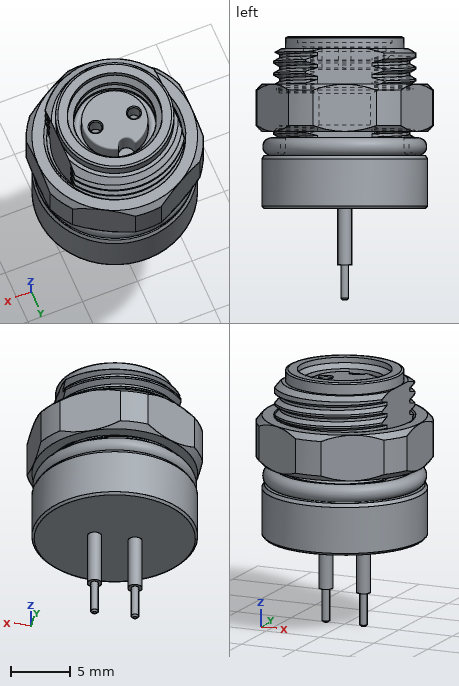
import cadquery as cq
import math


flange_radius = 7.0
flange_height = 4.5
flange_bottom_chamfer = 0.2
flange_top_chamfer_width = 0.2
flange_top_chamfer_height = 0.3

seal_outer_radius = 6.92
seal_section_radius = 0.75
seal_press = 0.02
seal_centre_z = flange_height + seal_section_radius - seal_press
seal_centre_radius = seal_outer_radius - seal_section_radius

thread_radius = 6.0
thread_pitch = 1.0
thread_depth = 0.5
thread_root_width = thread_pitch / 4
thread_flank_angle = math.radians(30)
thread_bottom_z = 6.0
thread_top_z = 13.5
thread_chamfer_width = 0.65
thread_chamfer_height = 0.38
thread_start_z = 13.1
thread_turns = 7.5
cutter_overshoot = 0.05
barrel_flat_distance = 10.0

neck_radius = barrel_flat_distance / 2
neck_fillet = 0.45

spigot_radius = 5.0
spigot_top_z = 14.5
spigot_chamfer_width = 0.2
spigot_chamfer_height = 0.1

nut_across_flats = 14.0
nut_corner_radius = 7.49
nut_bottom_z = 6.5
nut_height = 4.0
nut_top_z = nut_bottom_z + nut_height
nut_chamfer = 0.5
nut_bore_radius = 5.46
nut_bore_chamfer = 0.54
nut_counterbore_radius = 5.75
nut_counterbore_depth = 0.5

mouth_radius = 4.0
mouth_depth = 0.47
lip_radius = 3.5
lip_top_z = 13.63
lip_bottom_z = 13.25
undercut_bottom_z = 12.55
undercut_radius = lip_radius + lip_bottom_z - undercut_bottom_z
well_floor_z = 11.75

inner_seal_centre_radius = 3.2
inner_seal_section_radius = 0.36
inner_seal_press = 0.03
inner_seal_centre_z = well_floor_z + inner_seal_section_radius - inner_seal_press

insert_radius = 2.8
insert_top_z = 13.6
insert_edge = 0.13
key_radius = 0.7
key_centre_y = 2.6
key_mouth_fillet = 0.15

contact_spacing = 3.5
contact_hole_radius = 0.53
contact_hole_depth = 1.5
contact_hole_edge = 0.1
drill_tip_depth = contact_hole_radius * math.tan(math.radians(30))
pin_radius = 0.6
pin_length = 4.75
tip_radius = 0.33
pin_end_z = -7.7
tip_chamfer = 0.15
contact_positions = [(-contact_spacing / 2, 0), (contact_spacing / 2, 0)]


def revolve_profile(points):
    """Turn a closed (radius, z) outline about the Z axis."""
    return cq.Workplane("XZ").polyline(points).close().revolve(360, (0, 0), (0, 1))


def cylinder(radius, bottom_z, top_z):
    return cq.Workplane("XY").workplane(offset=bottom_z).circle(radius).extrude(top_z - bottom_z)


def ring(centre_radius, section_radius, centre_z):
    """O-ring lying flat, with a round section."""
    section = cq.Workplane("XZ").center(centre_radius, centre_z).circle(section_radius)
    return section.revolve(360, (-centre_radius, 0), (-centre_radius, 1))


def make_flange():
    return revolve_profile([
        (0, 0),
        (flange_radius - flange_bottom_chamfer, 0),
        (flange_radius, flange_bottom_chamfer),
        (flange_radius, flange_height - flange_top_chamfer_height),
        (flange_radius - flange_top_chamfer_width, flange_height),
        (0, flange_height),
    ])


def make_thread_groove():
    """Right-handed helical groove, a trapezoid that opens outwards past the crests."""
    root_radius = thread_radius - thread_depth
    outer_radius = thread_radius + cutter_overshoot
    outer_width = thread_root_width + 2 * (outer_radius - root_radius) * math.tan(thread_flank_angle)
    groove_height = thread_turns * thread_pitch
    bottom_z = thread_start_z - groove_height
    helix = cq.Wire.makeHelix(thread_pitch, groove_height, root_radius, cq.Vector(0, 0, bottom_z))
    section = cq.Workplane("XZ").polyline([
        (root_radius, bottom_z - thread_root_width / 2),
        (outer_radius, bottom_z - outer_width / 2),
        (outer_radius, bottom_z + outer_width / 2),
        (root_radius, bottom_z + thread_root_width / 2),
    ]).close()
    return section.sweep(cq.Workplane(helix), isFrenet=True)


def make_neck():
    """Round neck that flares into the flange with a concave fillet."""
    fillet_mid = neck_fillet * (1 - math.sqrt(0.5))
    return (
        cq.Workplane("XZ").moveTo(0, flange_height)
        .lineTo(neck_radius + neck_fillet, flange_height)
        .threePointArc(
            (neck_radius + fillet_mid, flange_height + fillet_mid),
            (neck_radius, flange_height + neck_fillet),
        )
        .lineTo(neck_radius, thread_bottom_z)
        .lineTo(0, thread_bottom_z)
        .close().revolve(360, (0, 0), (0, 1))
    )


def make_barrel():
    """Thread and spigot in one piece, with flats on +X and -X."""
    outline = revolve_profile([
        (0, thread_bottom_z),
        (thread_radius, thread_bottom_z),
        (thread_radius, thread_top_z - thread_chamfer_height),
        (thread_radius - thread_chamfer_width, thread_top_z),
        (spigot_radius, thread_top_z),
        (spigot_radius, spigot_top_z - spigot_chamfer_height),
        (spigot_radius - spigot_chamfer_width, spigot_top_z),
        (0, spigot_top_z),
    ])
    threaded_rod = cylinder(thread_radius, flange_height, spigot_top_z).cut(make_thread_groove())
    barrel = threaded_rod.intersect(outline)
    flats = cq.Workplane("XY").box(barrel_flat_distance, 2 * thread_radius, 2 * spigot_top_z)
    return barrel.intersect(flats)


def make_nut():
    """Hexagon with flats on +X and -X, turned corners and a bore chamfered at both ends."""
    across_corners = nut_across_flats / math.cos(math.radians(30))
    hexagon = (
        cq.Workplane("XY").workplane(offset=nut_bottom_z)
        .transformed(rotate=(0, 0, 30)).polygon(6, across_corners).extrude(nut_height)
    )
    turned = revolve_profile([
        (nut_bore_radius + nut_bore_chamfer, nut_bottom_z),
        (nut_corner_radius - nut_chamfer, nut_bottom_z),
        (nut_corner_radius, nut_bottom_z + nut_chamfer),
        (nut_corner_radius, nut_top_z - nut_chamfer),
        (nut_corner_radius - nut_chamfer, nut_top_z),
        (nut_bore_radius + nut_bore_chamfer, nut_top_z),
        (nut_counterbore_radius, nut_top_z - nut_bore_chamfer / 2),
        (nut_counterbore_radius, nut_top_z - nut_counterbore_depth),
        (nut_bore_radius, nut_top_z - nut_counterbore_depth - nut_bore_chamfer / 2),
        (nut_bore_radius, nut_bottom_z + nut_bore_chamfer),
    ])
    return hexagon.intersect(turned)


def make_socket_cavity():
    return revolve_profile([
        (0, well_floor_z),
        (lip_radius, well_floor_z),
        (lip_radius, undercut_bottom_z),
        (undercut_radius, lip_bottom_z),
        (lip_radius, lip_bottom_z),
        (lip_radius, lip_top_z),
        (mouth_radius, spigot_top_z - mouth_depth),
        (mouth_radius, spigot_top_z),
        (0, spigot_top_z),
    ])


def make_contact_hole():
    """Chamfered blind hole with a conical drill tip."""
    bottom_z = insert_top_z - contact_hole_depth
    return revolve_profile([
        (0, bottom_z - drill_tip_depth),
        (contact_hole_radius, bottom_z),
        (contact_hole_radius, insert_top_z - contact_hole_edge),
        (contact_hole_radius + contact_hole_edge, insert_top_z),
        (0, insert_top_z),
    ])


def make_insert():
    """Round insert with a keyway on +Y and one hole per contact."""
    insert = cylinder(insert_radius, well_floor_z, insert_top_z)
    keyway = cylinder(key_radius, well_floor_z, insert_top_z).translate((0, key_centre_y, 0))
    insert = insert.cut(keyway)
    insert = insert.edges("|Z").edges(">Y").fillet(key_mouth_fillet)
    insert = insert.faces(">Z").edges().fillet(insert_edge)
    for x, y in contact_positions:
        insert = insert.cut(make_contact_hole().translate((x, y, 0)))
    return insert


def make_pin():
    """Stepped solder pin with a chamfered tip."""
    return revolve_profile([
        (0, 0),
        (pin_radius, 0),
        (pin_radius, -pin_length),
        (tip_radius, -pin_length),
        (tip_radius, pin_end_z + tip_chamfer),
        (tip_radius - tip_chamfer, pin_end_z),
        (0, pin_end_z),
    ])


body = make_flange().union(make_neck()).union(make_barrel())
body = body.cut(make_socket_cavity())
body = body.union(make_insert())
body = body.union(ring(inner_seal_centre_radius, inner_seal_section_radius, inner_seal_centre_z))
body = body.union(ring(seal_centre_radius, seal_section_radius, seal_centre_z))
body = body.union(make_nut())
for pin_x, pin_y in contact_positions:
    body = body.union(make_pin().translate((pin_x, pin_y, 0)))

result = body